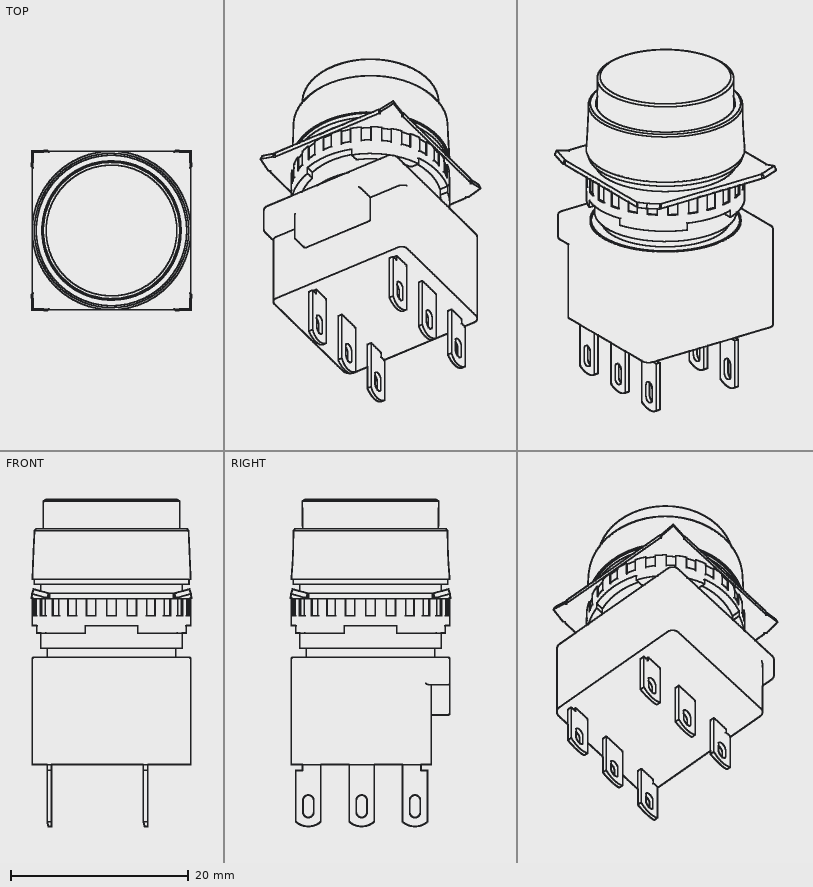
import cadquery as cq
import math

BUTTON_TOP = 36.9
BEZEL_TOP = 33.6
BEZEL_BOTTOM = 27.9
FLANGE_BOTTOM = 27.3
WASHER_TOP = 26.3
WASHER_BOTTOM = 25.72
SLOT_BOTTOM = 23.8
NOTCH_TOP = 22.65
NUT_BOTTOM = 21.8
BARREL_BOTTOM = 20.1
HOUSING_TOP = 19.1
OVERHANG_BOTTOM = 15.98
LATCH_BOTTOM = 12.6
HOUSING_BOTTOM = 6.97

HOUSING_SIDE = 17.9
OUTER_RADIUS = HOUSING_SIDE / 2
BEZEL_TOP_RADIUS = 8.7
FLANGE_RADIUS = 8.75
BARREL_RADIUS = 8.0
NECK_RADIUS = 7.27
BUTTON_BASE_RADIUS = 7.75
BUTTON_TOP_RADIUS = 7.7
BUTTON_GAP = 0.1
BEVEL_HEIGHT = 0.22
BUTTON_BEVEL_WIDTH = 0.35
BEZEL_BEVEL_WIDTH = 0.22

CORNER_RADIUS = 0.9
LOWER_CORNER_RADIUS = 0.75
LOWER_WALL_Y = 6.85
LATCH_WIDTH = HOUSING_SIDE / 2
BLOCK_EDGE_FILLET = 0.22
GROOVE_OUTER_RADIUS = 8.52
GROOVE_WIDTH = 0.15
GROOVE_DEPTH = 0.1

TERMINAL_WIDTH = 2.85
TERMINAL_THICKNESS = 0.5
TERMINAL_PITCH = 6.0
TERMINAL_MIDDLE_Y = -1.0
TERMINAL_ROWS_X = (-7.0, 3.85)
TIP_HEIGHT = 0.55
TIP_TAPER = 0.15
SHOULDER_WIDTH = 0.75
SHOULDER_BOTTOM = 6.35
EYE_WIDTH = 1.18
EYE_HEIGHT = 2.5
EYE_CENTER_Z = 2.3

WASHER_THICKNESS = WASHER_TOP - WASHER_BOTTOM
BEND_LEG = 2.0
TAB_LEG = 1.77
BEND_RADIUS = 0.15
BEND_ANGLE = 22.5

GRIP_COUNT = 24
GRIP_WIDTH = 1.1
GRIP_DEPTH = 0.2
NOTCH_WIDTH = 5.95


def cylinder(radius, bottom, top):
    return cq.Workplane("XY").workplane(offset=bottom).circle(radius).extrude(top - bottom)


def box(x_range, y_range, z_range):
    lows, highs = zip(x_range, y_range, z_range)
    sizes = [high - low for low, high in zip(lows, highs)]
    return cq.Workplane("XY").box(*sizes, centered=False).translate(lows)


def beveled_cone(bottom_radius, top_radius, bottom, top, bevel_width):
    """Tapered round body with a beveled top edge."""
    profile = [
        (0, bottom),
        (bottom_radius, bottom),
        (top_radius, top - BEVEL_HEIGHT),
        (top_radius - bevel_width, top),
        (0, top),
    ]
    return cq.Workplane("XZ").polyline(profile).close().revolve(360, (0, 0, 0), (0, 1, 0))


def make_button():
    return beveled_cone(BUTTON_BASE_RADIUS, BUTTON_TOP_RADIUS, BEZEL_BOTTOM, BUTTON_TOP, BUTTON_BEVEL_WIDTH)


def make_housing_block():
    """Square block with its lower +Y wall set back under an overhang, and a latch on that wall."""
    half = HOUSING_SIDE / 2
    upper = box((-half, half), (-half, half), (OVERHANG_BOTTOM, HOUSING_TOP))
    upper = upper.edges("|Z").fillet(CORNER_RADIUS).faces("<Z or >Z").edges().fillet(BLOCK_EDGE_FILLET)

    joint_z = OVERHANG_BOTTOM + BLOCK_EDGE_FILLET
    lower = box((-half, half), (-half, LOWER_WALL_Y), (HOUSING_BOTTOM, joint_z))
    lower = lower.edges("|Z and <Y").fillet(CORNER_RADIUS).edges("|Z and >Y").fillet(LOWER_CORNER_RADIUS)

    latch_x = LATCH_WIDTH / 2
    latch = box((-latch_x, latch_x), (LOWER_WALL_Y - CORNER_RADIUS, half), (LATCH_BOTTOM, joint_z))
    latch = latch.edges("(|Z and >Y) or <Z").fillet(BLOCK_EDGE_FILLET)
    return upper.union(lower).union(latch)


def make_top_groove():
    """Shallow ring groove around the neck."""
    floor_z = HOUSING_TOP - GROOVE_DEPTH
    outer = cylinder(GROOVE_OUTER_RADIUS, floor_z, HOUSING_TOP)
    return outer.cut(cylinder(GROOVE_OUTER_RADIUS - GROOVE_WIDTH, floor_z, HOUSING_TOP))


def make_terminal(shoulder_side):
    """Flat solder terminal in the YZ plane; shoulder_side is +1, -1 or 0 for no shoulder."""
    half = TERMINAL_WIDTH / 2
    blade = (
        cq.Workplane("YZ")
        .moveTo(-half, HOUSING_BOTTOM)
        .lineTo(-half, TIP_HEIGHT)
        .threePointArc((0, 0), (half, TIP_HEIGHT))
        .lineTo(half, HOUSING_BOTTOM)
        .close()
        .extrude(TERMINAL_THICKNESS / 2, both=True)
    )
    eye = (
        cq.Workplane("YZ")
        .center(0, EYE_CENTER_Z)
        .slot2D(EYE_HEIGHT, EYE_WIDTH, 90)
        .extrude(TERMINAL_THICKNESS, both=True)
    )
    face_x = -TERMINAL_THICKNESS / 2
    taper = (
        cq.Workplane("XZ")
        .polyline([(face_x, TIP_HEIGHT), (face_x + TIP_TAPER, 0), (face_x, 0)])
        .close()
        .extrude(half, both=True)
    )
    blade = blade.cut(eye).cut(taper)
    if shoulder_side:
        shoulder = cq.Workplane("XY").box(
            TERMINAL_THICKNESS,
            2 * SHOULDER_WIDTH,
            2 * (HOUSING_BOTTOM - SHOULDER_BOTTOM),
        )
        blade = blade.cut(shoulder.translate((0, shoulder_side * half, HOUSING_BOTTOM)))
    return blade


def make_housing():
    """Block, barrel, bezel and terminals as one body, with a pocket for the button."""
    housing = make_housing_block().cut(make_top_groove())
    housing = housing.union(cylinder(NECK_RADIUS, HOUSING_TOP, BARREL_BOTTOM))
    housing = housing.union(cylinder(BARREL_RADIUS, BARREL_BOTTOM, FLANGE_BOTTOM))
    housing = housing.union(cylinder(FLANGE_RADIUS, FLANGE_BOTTOM, BEZEL_BOTTOM))
    bezel = beveled_cone(OUTER_RADIUS, BEZEL_TOP_RADIUS, BEZEL_BOTTOM, BEZEL_TOP, BEZEL_BEVEL_WIDTH)
    housing = housing.union(bezel)
    housing = housing.cut(cylinder(BUTTON_BASE_RADIUS + BUTTON_GAP, BEZEL_BOTTOM, BEZEL_TOP))
    for row_x in TERMINAL_ROWS_X:
        for side in (-1, 0, 1):
            terminal_y = TERMINAL_MIDDLE_Y + side * TERMINAL_PITCH
            housing = housing.union(make_terminal(side).translate((row_x, terminal_y, 0)))
    return housing


def make_bent_corner():
    """Triangular tab and the bend below it; the bend starts on the plane X = 0 and leads toward +X."""
    reach = TAB_LEG / math.sqrt(2)
    tab = (
        cq.Workplane("XY")
        .workplane(offset=WASHER_BOTTOM)
        .polyline([(0, -reach), (reach, 0), (0, reach)])
        .close()
        .extrude(WASHER_THICKNESS)
    )
    axis_z = WASHER_TOP + BEND_RADIUS
    middle_z = (WASHER_TOP + WASHER_BOTTOM) / 2
    axis_height = axis_z - middle_z
    tab = tab.rotate((0, 0, axis_z), (0, 1, axis_z), -BEND_ANGLE)
    bend = (
        cq.Workplane("YZ")
        .center(0, middle_z)
        .rect(2 * reach, WASHER_THICKNESS)
        .revolve(BEND_ANGLE, (0, axis_height, 0), (-1, axis_height, 0))
    )
    return bend.union(tab)


def make_washer():
    """Square plate with its four corners bent upward."""
    half = HOUSING_SIDE / 2
    washer = cq.Workplane("XY").workplane(offset=WASHER_BOTTOM).rect(HOUSING_SIDE, HOUSING_SIDE)
    washer = washer.extrude(WASHER_THICKNESS).edges("|Z").chamfer(BEND_LEG)
    bend_start = math.sqrt(2) * (half - BEND_LEG / 2)
    corner = make_bent_corner().translate((bend_start, 0, 0))
    for quarter in range(4):
        angle = 45 + 90 * quarter
        washer = washer.union(corner.rotate((0, 0, 0), (0, 0, 1), angle))
    return washer.cut(cylinder(BARREL_RADIUS, WASHER_BOTTOM, WASHER_TOP))


def make_nut():
    """Ring with grip slots around its upper rim and four notches in its lower rim."""
    nut = cylinder(OUTER_RADIUS, NUT_BOTTOM, WASHER_BOTTOM)
    nut = nut.cut(cylinder(BARREL_RADIUS, NUT_BOTTOM, WASHER_BOTTOM))
    grip = box(
        (OUTER_RADIUS - GRIP_DEPTH, OUTER_RADIUS + GRIP_DEPTH),
        (-GRIP_WIDTH / 2, GRIP_WIDTH / 2),
        (SLOT_BOTTOM, WASHER_BOTTOM),
    )
    for index in range(GRIP_COUNT):
        nut = nut.cut(grip.rotate((0, 0, 0), (0, 0, 1), index * 360 / GRIP_COUNT))
    notch_y = NOTCH_WIDTH / 2
    notch = box((-OUTER_RADIUS, OUTER_RADIUS), (-notch_y, notch_y), (NUT_BOTTOM, NOTCH_TOP))
    for angle in (0, 90):
        nut = nut.cut(notch.rotate((0, 0, 0), (0, 0, 1), angle))
    return nut


button = make_button()
housing = make_housing()
washer = make_washer()
nut = make_nut()

result = cq.Compound.makeCompound(
    [
        housing.solids().val(),
        button.solids().val(),
        washer.solids().val(),
        nut.solids().val(),
    ]
)